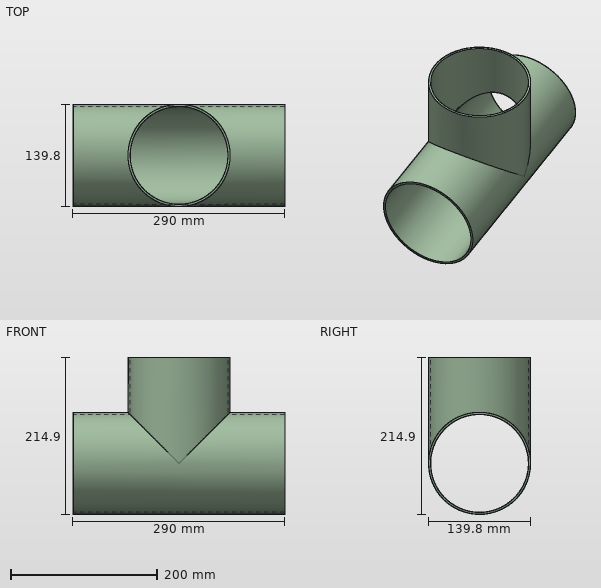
import cadquery as cq

run_length = 290.0
outer_diameter = 139.8
bore_diameter = 133.7
branch_height = run_length / 2


def tee_body(diameter):
    """Solid tee of one diameter, with the two axes crossing at the origin."""
    run = cq.Workplane("YZ").circle(diameter / 2).extrude(run_length / 2, both=True)
    branch = cq.Workplane("XY").circle(diameter / 2).extrude(branch_height)
    return run.union(branch)


result = tee_body(outer_diameter).cut(tee_body(bore_diameter))